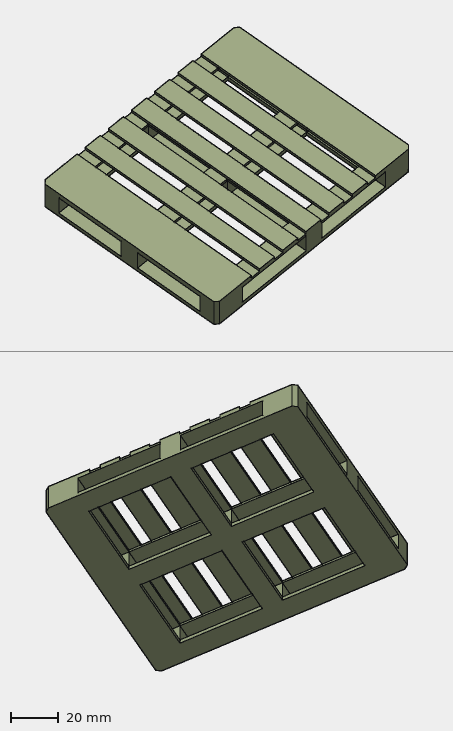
import cadquery as cq

length = 120.0
width = 100.0
height = 14.4
corner_setback_x = 1.5
corner_setback_y = 1.9

bottom_board_thickness = 2.2
fork_opening_height = 9.5
slat_thickness = 1.5
fork_opening_top = bottom_board_thickness + fork_opening_height
slat_underside = height - slat_thickness

block_width = 9.6
end_block_length = 16.0
middle_block_length = 9.6
bay_width = (width - 3 * block_width) / 2
bay_length = (length - 2 * end_block_length - middle_block_length) / 2
bay_x = (block_width + bay_width) / 2
bay_y = (middle_block_length + bay_length) / 2

slot_count = 6
slot_width = 5.0
slat_width = 9.2
front_end_board = 21.5
slot_pitch = slot_width + slat_width


def box(size_x, size_y, bottom, top, x=0, y=0):
    """Upright box centred on (x, y), spanning bottom to top in Z."""
    solid = cq.Workplane("XY").box(size_x, size_y, top - bottom, centered=(True, True, False))
    return solid.translate((x, y, bottom))


def bevelled_block():
    """Full envelope with its four upright corners cut off, set back slightly more along Y."""
    side_x = width / 2
    end_y = length / 2
    flat_x = side_x - corner_setback_x
    flat_y = end_y - corner_setback_y
    corners = [
        (side_x, -flat_y), (side_x, flat_y),
        (flat_x, end_y), (-flat_x, end_y),
        (-side_x, flat_y), (-side_x, -flat_y),
        (-flat_x, -end_y), (flat_x, -end_y),
    ]
    return cq.Workplane("XY").polyline(corners).close().extrude(height)


def cut_fork_openings(body):
    """Two tunnels along each horizontal direction, leaving nine blocks."""
    for side in (-1, 1):
        body = body.cut(box(bay_width, length, bottom_board_thickness, fork_opening_top, x=side * bay_x))
        body = body.cut(box(width, bay_length, bottom_board_thickness, fork_opening_top, y=side * bay_y))
    return body


def cut_bays(body, bottom, top):
    """Four openings through a layer, leaving a grid of bars along the rows of blocks."""
    for side_x in (-1, 1):
        for side_y in (-1, 1):
            body = body.cut(box(bay_width, bay_length, bottom, top, side_x * bay_x, side_y * bay_y))
    return body


def cut_deck_slots(body):
    """Gaps between slats across the full width, down to the slat underside."""
    first_slot_y = -length / 2 + front_end_board + slot_width / 2
    for index in range(slot_count):
        slot_y = first_slot_y + index * slot_pitch
        body = body.cut(box(width, slot_width, slat_underside, height, y=slot_y))
    return body


pallet = cut_fork_openings(bevelled_block())
pallet = cut_bays(pallet, bottom=0, top=bottom_board_thickness)
pallet = cut_bays(pallet, bottom=fork_opening_top, top=slat_underside)
result = cut_deck_slots(pallet)